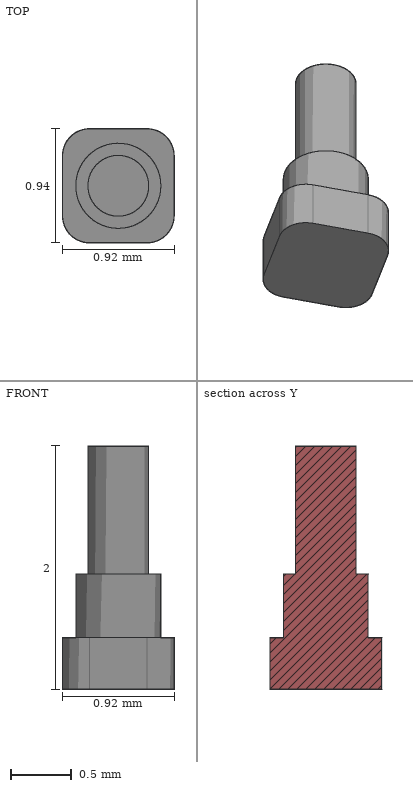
import cadquery as cq

base_width_x = 0.92
base_width_y = 0.94
base_height = 0.425
corner_radius = 0.225

shoulder_diameter = 0.70
shoulder_height = 0.525
pin_diameter = 0.50
total_height = 2.0
pin_height = total_height - base_height - shoulder_height


def make_base():
    """Rectangular block with rounded vertical corners, standing on Z = 0."""
    block = cq.Workplane("XY").rect(base_width_x, base_width_y).extrude(base_height)
    return block.edges("|Z").fillet(corner_radius)


def add_cylinder(body, diameter, height):
    """Add a centred cylinder on the top face of the body."""
    top = body.faces(">Z").workplane(origin=(0, 0, 0))
    return top.circle(diameter / 2).extrude(height)


base = make_base()
shouldered_base = add_cylinder(base, shoulder_diameter, shoulder_height)
result = add_cylinder(shouldered_base, pin_diameter, pin_height)